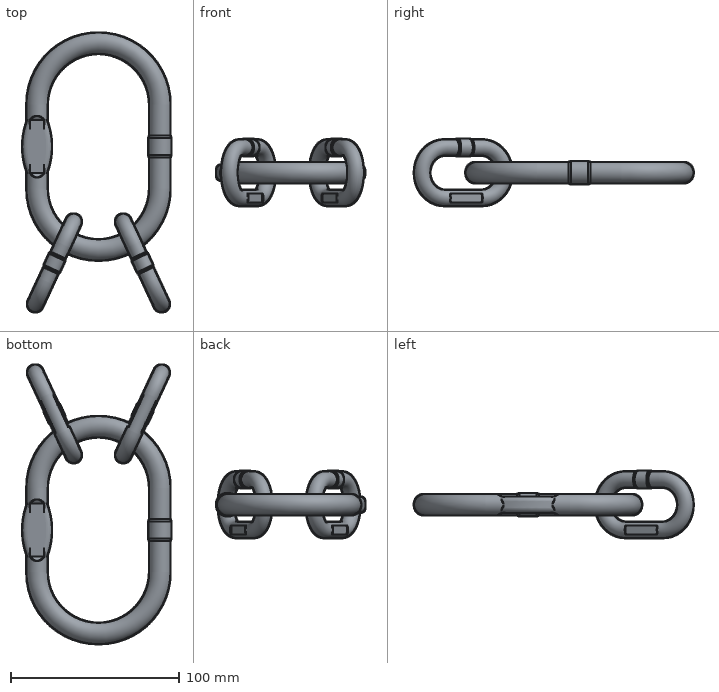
import cadquery as cq

MASTER_DIA = 13.0
MASTER_INNER_WIDTH = 60.0
MASTER_INNER_LENGTH = 110.0
MASTER_SLEEVE_DIA = 14.0
MASTER_SLEEVE_LENGTH = MASTER_DIA
MASTER_SLEEVE_TAPER = 1.5

PLATE_LENGTH = 31.7
PLATE_HALF_WIDTH = 9.0
PLATE_END_HALF_WIDTH = 6.0
PLATE_HALF_HEIGHT = 5.0
PLATE_EDGE_RADIUS = 3.3
FLAT_END_RUN = 2.5

LINK_DIA = 10.0
LINK_INNER_WIDTH = 20.0
LINK_INNER_LENGTH = 44.0
LINK_SLEEVE_DIA = 10.8
LINK_SLEEVE_LENGTH = LINK_DIA
LINK_SLEEVE_TAPER = 1.2
LINK_SPLAY_ANGLE = 25.0
LINK_CENTRE_X = 26.2
LINK_CENTRE_Y = -69.1

PANEL_LENGTH = 21.0
PANEL_WIDTH = 5.3
PANEL_CORNER_RADIUS = 1.0
PANEL_FLOOR_OFFSET = 4.2


def oblong_link(inner_width, inner_length, bar_dia):
    """Round bar bent to an oblong loop in the XY plane, long axis along Y."""
    bend_radius = (inner_width + bar_dia) / 2
    half_straight = (inner_length - inner_width) / 2
    path = (
        cq.Workplane("XY")
        .moveTo(bend_radius, 0)
        .lineTo(bend_radius, half_straight)
        .threePointArc((0, half_straight + bend_radius), (-bend_radius, half_straight))
        .lineTo(-bend_radius, -half_straight)
        .threePointArc((0, -half_straight - bend_radius), (bend_radius, -half_straight))
        .close()
    )
    return cq.Workplane("XZ").center(bend_radius, 0).circle(bar_dia / 2).sweep(path)


def weld_sleeve(axis_x, bar_dia, sleeve_dia, length, taper):
    """Thickened weld zone with coned ends, around a leg parallel to Y at axis_x."""
    bar_radius = bar_dia / 2
    sleeve_radius = sleeve_dia / 2
    half_length = length / 2
    half_crest = half_length - taper
    return (
        cq.Workplane("XY")
        .polyline([
            (0, -half_length),
            (bar_radius, -half_length),
            (sleeve_radius, -half_crest),
            (sleeve_radius, half_crest),
            (bar_radius, half_length),
            (0, half_length),
        ])
        .close()
        .revolve(360, (0, 0, 0), (0, 1, 0))
        .translate((axis_x, 0, 0))
    )


def name_plate(axis_x):
    """Lens-shaped plate with rounded long edges, centred on the leg at axis_x."""
    half_length = PLATE_LENGTH / 2
    lens = (
        cq.Workplane("XY")
        .moveTo(PLATE_END_HALF_WIDTH, -half_length)
        .threePointArc((PLATE_HALF_WIDTH, 0), (PLATE_END_HALF_WIDTH, half_length))
        .lineTo(-PLATE_END_HALF_WIDTH, half_length)
        .threePointArc((-PLATE_HALF_WIDTH, 0), (-PLATE_END_HALF_WIDTH, -half_length))
        .close()
    )
    upper_half = (
        lens.extrude(PLATE_HALF_HEIGHT)
        .faces(">Z")
        .edges("%CIRCLE")
        .fillet(PLATE_EDGE_RADIUS)
    )
    return upper_half.union(upper_half.mirror("XY")).translate((axis_x, 0, 0))


def plate_flat_cutter(axis_x):
    """Trapezoidal block that cuts a flat with sloping ends into the top of the leg."""
    half_length = PLATE_LENGTH / 2
    bar_radius = MASTER_DIA / 2
    return (
        cq.Workplane("YZ", origin=(axis_x, 0, 0))
        .polyline([
            (-half_length, PLATE_HALF_HEIGHT),
            (half_length, PLATE_HALF_HEIGHT),
            (half_length + FLAT_END_RUN, bar_radius),
            (-half_length - FLAT_END_RUN, bar_radius),
        ])
        .close()
        .extrude(bar_radius, both=True)
    )


def make_master_link():
    leg_x = (MASTER_INNER_WIDTH + MASTER_DIA) / 2
    link = oblong_link(MASTER_INNER_WIDTH, MASTER_INNER_LENGTH, MASTER_DIA)
    link = link.union(weld_sleeve(
        leg_x, MASTER_DIA, MASTER_SLEEVE_DIA, MASTER_SLEEVE_LENGTH, MASTER_SLEEVE_TAPER
    ))
    cutter = plate_flat_cutter(-leg_x)
    link = link.cut(cutter).cut(cutter.mirror("XY"))
    return link.union(name_plate(-leg_x))


def tag_panel_cutter(axis_x):
    """Rounded block that recesses a panel into the +Z side of the leg at axis_x."""
    return (
        cq.Workplane("XY", origin=(axis_x, 0, PANEL_FLOOR_OFFSET))
        .rect(PANEL_WIDTH, PANEL_LENGTH)
        .extrude(LINK_DIA / 2)
        .edges("|Z")
        .fillet(PANEL_CORNER_RADIUS)
    )


def make_small_link(side):
    """Small link standing upright; side is -1 for the -X link and +1 for the +X link."""
    leg_x = (LINK_INNER_WIDTH + LINK_DIA) / 2
    link = oblong_link(LINK_INNER_WIDTH, LINK_INNER_LENGTH, LINK_DIA)
    link = link.union(weld_sleeve(
        -leg_x, LINK_DIA, LINK_SLEEVE_DIA, LINK_SLEEVE_LENGTH, LINK_SLEEVE_TAPER
    ))
    cutter = tag_panel_cutter(leg_x)
    link = link.cut(cutter).cut(cutter.mirror("XY"))
    return (
        link.rotate((0, 0, 0), (0, 1, 0), 90)
        .rotate((0, 0, 0), (0, 0, 1), side * LINK_SPLAY_ANGLE)
        .translate((side * LINK_CENTRE_X, LINK_CENTRE_Y, 0))
    )


master_link = make_master_link()
small_links = [make_small_link(side) for side in (-1, 1)]

result = cq.Compound.makeCompound([master_link.val(), *[link.val() for link in small_links]])